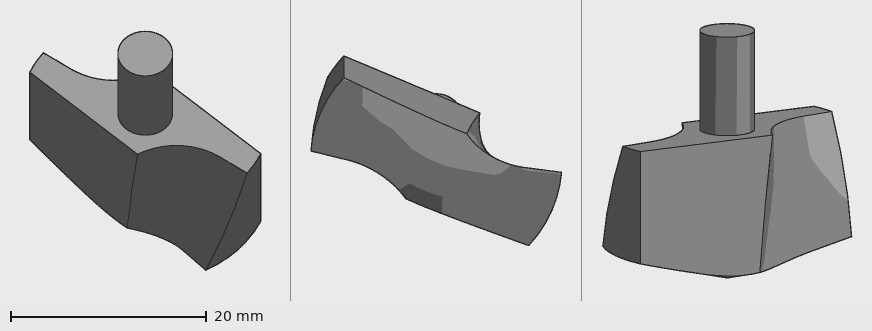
import cadquery as cq
import math

total_height = 26.1
head_diameter = 25.7
head_radius = head_diameter / 2
head_thickness = 8.67
shoulder_height = 15.7
tip_height = 3.85
shank_diameter = 5.6

land_angle = 7.1
land_inner_radius = 9.4
throat_radius = 7.52
flute_reach = 18.27
twist_angle = 33.5


def make_head():
    """Round body with a conical point, flattened on both Y sides."""
    body = (
        cq.Workplane("XZ")
        .moveTo(0, 0)
        .lineTo(head_radius, tip_height)
        .lineTo(head_radius, shoulder_height)
        .lineTo(0, shoulder_height)
        .close()
        .revolve(360, (0, 0), (0, 1))
    )
    slab = cq.Workplane("XY").box(
        head_diameter, head_thickness, shoulder_height, centered=(True, True, False)
    )
    return body.intersect(slab)


def make_flute():
    """Helical cutter: a radial land wall running tangentially into a round throat."""
    angle = math.radians(land_angle)

    def on_land(radius):
        return (radius * math.cos(angle), radius * math.sin(angle))

    land_x, land_y = on_land(land_inner_radius)
    center_x = land_x + throat_radius * math.sin(angle)
    center_y = land_y - throat_radius * math.cos(angle)

    def on_throat(direction):
        return (
            center_x + throat_radius * math.cos(direction),
            center_y + throat_radius * math.sin(direction),
        )

    start_direction = angle + math.pi / 2
    end_direction = math.pi - math.asin((-head_thickness / 2 - center_y) / throat_radius)
    throat_middle = on_throat((start_direction + end_direction) / 2)
    throat_end = on_throat(end_direction)
    land_end = on_land(flute_reach)

    return (
        cq.Workplane("XY")
        .moveTo(*land_end)
        .lineTo(land_x, land_y)
        .threePointArc(throat_middle, throat_end)
        .lineTo(throat_end[0], -flute_reach)
        .lineTo(land_end[0], -flute_reach)
        .close()
        .twistExtrude(shoulder_height, twist_angle)
        .rotate((0, 0, 0), (0, 0, 1), -twist_angle)
    )


def make_shank():
    return (
        cq.Workplane("XY")
        .workplane(offset=shoulder_height)
        .circle(shank_diameter / 2)
        .extrude(total_height - shoulder_height)
    )


flute = make_flute()
head = make_head()
for turn in (0, 180):
    head = head.cut(flute.rotate((0, 0, 0), (0, 0, 1), turn))

result = head.union(make_shank())